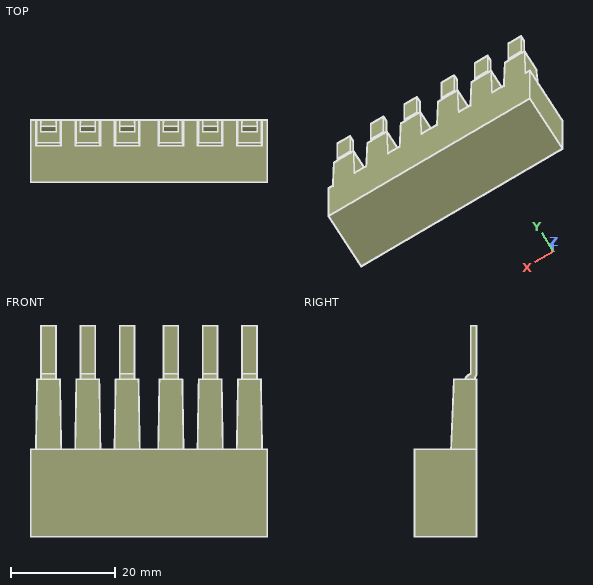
import cadquery as cq

block_length = 45.4
block_depth = 12.0
block_height = 16.8
total_height = 40.5

sleeve_base_width = 4.9
sleeve_top_width = 4.45
sleeve_base_depth = 4.95
sleeve_top_depth = 4.4
sleeve_height = 13.45

pin_width = 2.9
pin_thickness = 1.2
foot_depth = 2.25
heel_setback = 0.4
heel_height = 0.95
foot_height = 1.05
foot_radius = 1.8

pins_per_group = 3
pitch = 7.55
middle_gap = 8.4

back = block_depth / 2
sleeve_top = block_height + sleeve_height


def make_sleeve(x):
    """Sleeve tapering on its sides and front, with an upright back."""
    base_y = back - sleeve_base_depth / 2
    top_y = back - sleeve_top_depth / 2
    return (
        cq.Workplane("XY", origin=(x, 0, block_height))
        .center(0, base_y)
        .rect(sleeve_base_width, sleeve_base_depth)
        .workplane(offset=sleeve_height)
        .center(0, top_y - base_y)
        .rect(sleeve_top_width, sleeve_top_depth)
        .loft(ruled=True)
    )


def make_pin(x):
    """Flat upright blade with a cut-back heel and a rounded foot."""
    blade_front = back - pin_thickness
    return (
        cq.Workplane("YZ", origin=(x - pin_width / 2, 0, 0))
        .moveTo(back - heel_setback, sleeve_top)
        .lineTo(back, sleeve_top + heel_height)
        .lineTo(back, total_height)
        .lineTo(blade_front, total_height)
        .lineTo(blade_front, sleeve_top + foot_height)
        .radiusArc((back - foot_depth, sleeve_top), -foot_radius)
        .close()
        .extrude(pin_width)
    )


result = cq.Workplane("XY").box(block_length, block_depth, block_height, centered=(True, True, False))
for side in (-1, 1):
    for index in range(pins_per_group):
        pin_x = side * (middle_gap / 2 + index * pitch)
        result = result.union(make_sleeve(pin_x)).union(make_pin(pin_x))